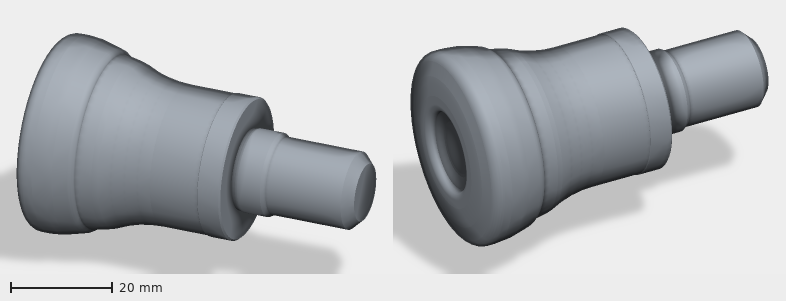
import cadquery as cq


total_length = 68.0
cover_end = 13.2
waist_start = 16.45
waist_blend_end = 17.6
grip_start = 27.9
collar_start = 37.95
collar_end = 42.85
shoulder_end = 48.95
shoulder_chamfer_length = 0.95

cover_radius = 20.0
core_head_radius = 17.6
waist_start_radius = 17.0
waist_blend_radius = 16.65
grip_radius = 28.6 / 2
collar_radius = 29.0 / 2
shoulder_radius = 17.0 / 2
stem_radius = 15.8 / 2

core_head_fillet = 2.05
collar_front_chamfer = 0.15
collar_back_chamfer = 0.35
stem_tip_chamfer = 2.05

neck_radius = 8.3
neck_length = 0.55
neck_ramp_length = 0.7

core_front = 1.55
dish_depth = 0.95
dish_floor_radius = 5.1
dish_corner_radius = 5.7
dish_corner_height = 0.1
opening_radius = 8.0

rim_inner_radius = 9.85
rim_outer_radius = 11.55
dome_end = (0.4, 15.5)
front_cone_end = (1.15, 18.4)
front_round_middle = (1.9, 19.5)
front_round_end = 3.3
rim_band_end = 4.95
opening_round_middle = (0.55, 8.5)

taper_start = (9.0, 19.4)
lip_start = (11.8, 18.6)
lip_middle = (12.65, 18.2)


def revolve_about_x(outline):
    """Turn a closed half outline into a solid of revolution about X."""
    return outline.close().revolve(360, (0, 0, 0), (1, 0, 0))


def make_core():
    """Knob body with its dish, waist, collar and stem."""
    dish_floor = core_front + dish_depth
    neck_end = collar_end + neck_length
    shoulder_start = neck_end + neck_ramp_length
    shoulder_chamfer_end = shoulder_end + shoulder_chamfer_length
    outline = (
        cq.Workplane("XY")
        .moveTo(dish_floor, 0)
        .lineTo(dish_floor, dish_floor_radius)
        .lineTo(dish_floor - dish_corner_height, dish_corner_radius)
        .lineTo(core_front, opening_radius)
        .lineTo(core_front, core_head_radius - core_head_fillet)
        .radiusArc((core_front + core_head_fillet, core_head_radius), core_head_fillet)
        .lineTo(cover_end, core_head_radius)
        .lineTo(waist_start, waist_start_radius)
        .lineTo(waist_blend_end, waist_blend_radius)
        .radiusArc((grip_start, grip_radius), -waist_arc_radius())
        .lineTo(collar_start, grip_radius)
        .lineTo(collar_start, collar_radius - collar_front_chamfer)
        .lineTo(collar_start + collar_front_chamfer, collar_radius)
        .lineTo(collar_end - collar_back_chamfer, collar_radius)
        .lineTo(collar_end, collar_radius - collar_back_chamfer)
        .lineTo(collar_end, neck_radius)
        .lineTo(neck_end, neck_radius)
        .lineTo(shoulder_start, shoulder_radius)
        .lineTo(shoulder_end, shoulder_radius)
        .lineTo(shoulder_chamfer_end, stem_radius)
        .lineTo(total_length - stem_tip_chamfer, stem_radius)
        .lineTo(total_length, stem_radius - stem_tip_chamfer)
        .lineTo(total_length, 0)
    )
    return revolve_about_x(outline)


def waist_arc_radius():
    """Radius of the hollow arc that meets the straight grip tangentially."""
    run = grip_start - waist_blend_end
    drop = waist_blend_radius - grip_radius
    return (run**2 + drop**2) / (2 * drop)


def make_cover():
    """Soft ring wrapped around the head of the core."""
    outline = (
        cq.Workplane("XY")
        .moveTo(core_front, opening_radius)
        .threePointArc(opening_round_middle, (0, rim_inner_radius))
        .lineTo(0, rim_outer_radius)
        .tangentArcPoint(dome_end, relative=False)
        .lineTo(*front_cone_end)
        .threePointArc(front_round_middle, (front_round_end, cover_radius))
        .lineTo(rim_band_end, cover_radius)
        .tangentArcPoint(taper_start, relative=False)
        .lineTo(*lip_start)
        .threePointArc(lip_middle, (cover_end, core_head_radius))
        .lineTo(core_front + core_head_fillet, core_head_radius)
        .radiusArc((core_front, core_head_radius - core_head_fillet), -core_head_fillet)
    )
    return revolve_about_x(outline)


core = make_core()
cover = make_cover()
result = cq.Compound.makeCompound([core.val(), cover.val()])